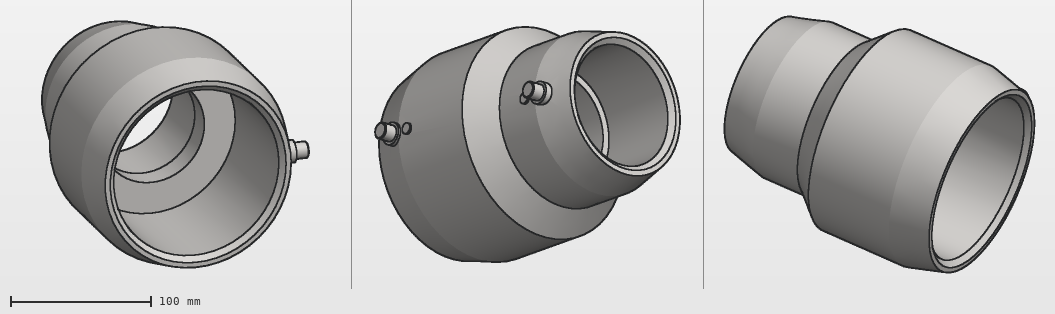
import cadquery as cq

length = 183.5
end_taper_length = 29.0
small_body_end = 66.5
large_body_start = 86.8
small_radius = 60.5
large_radius = 78.0
end_radius_drop = 7.7

passage_radius = 39.0
small_socket_radius = 44.8
large_socket_radius = 62.4
mouth_flare = 4.0
mouth_length = 4.0

terminal_inset = 23.1
terminal_radius = 6.0
terminal_height = 12.1
terminal_chamfer = 0.7
collar_radius = 8.3
collar_rise = 1.8

indicator_inset = 38.9
indicator_radius = 4.0
indicator_rise = 1.5

root_depth = 9.2


def make_sleeve():
    """Reducing sleeve with tapered ends, a socket at each end and a passage."""
    large_taper_start = length - end_taper_length
    profile = [
        (0, small_radius - end_radius_drop),
        (end_taper_length, small_radius),
        (small_body_end, small_radius),
        (large_body_start, large_radius),
        (large_taper_start, large_radius),
        (length, large_radius - end_radius_drop),
        (length, large_socket_radius + mouth_flare),
        (length - mouth_length, large_socket_radius),
        (large_body_start, large_socket_radius),
        (large_body_start, passage_radius),
        (small_body_end, passage_radius),
        (small_body_end, small_socket_radius),
        (mouth_length, small_socket_radius),
        (0, small_socket_radius + mouth_flare),
    ]
    return cq.Workplane("XY").polyline(profile).close().revolve(360, (0, 0, 0), (1, 0, 0))


def make_post(x, radius, bottom, top):
    """Round post pointing along +Y between two distances from the sleeve axis."""
    base = cq.Workplane("XZ", origin=(x, bottom, 0))
    return base.circle(radius).extrude(bottom - top)


def make_terminal(x, body_radius):
    """Contact pin with a chamfered tip standing on a wider collar."""
    root = body_radius - root_depth
    collar_top = body_radius + collar_rise
    collar = make_post(x, collar_radius, root, collar_top)
    pin = make_post(x, terminal_radius, root, body_radius + terminal_height)
    pin = pin.faces(">Y").chamfer(terminal_chamfer)
    return collar.union(pin)


def make_indicator(x, body_radius):
    """Low round button just proud of the sleeve."""
    return make_post(x, indicator_radius, body_radius - root_depth, body_radius + indicator_rise)


result = make_sleeve()
for terminal_x, indicator_x, body_radius in [
    (terminal_inset, indicator_inset, small_radius),
    (length - terminal_inset, length - indicator_inset, large_radius),
]:
    result = result.union(make_terminal(terminal_x, body_radius))
    result = result.union(make_indicator(indicator_x, body_radius))